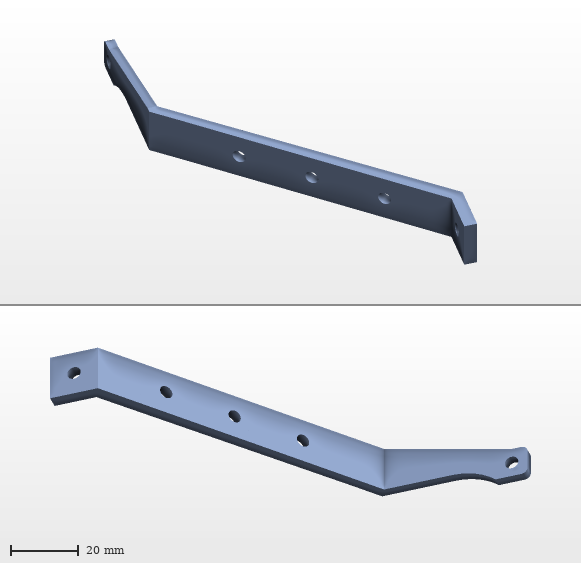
import cadquery as cq
import math

BEND_ANGLE = 50.0
BAR_HEIGHT = 15.0
BAR_BACK_LENGTH = 98.29
BAR_LEFT_THICKNESS = 3.2
FLAT_LENGTH = 10.0
ARM_LENGTH = 45.0
ARM_THICKNESS = 3.0
TAB_LENGTH = 14.97
TAB_THICKNESS = 4.0

EYE_HALF_HEIGHT = 5.0
EYE_TOP_LENGTH = 5.0
EYE_BOTTOM_LENGTH = 10.0
EYE_CORNER_RADIUS = 2.0
UNDERSIDE_RADIUS = 21.0

HOLE_DIAMETER = 4.2
BAR_HOLE_SPACING = 23.5
BAR_HOLE_COUNT = 3
LAST_BAR_HOLE_FROM_TAB_BEND = 23.5
ARM_HOLE_FROM_END = 5.0
TAB_HOLE_FROM_END = TAB_LENGTH / 2

COS = math.cos(math.radians(BEND_ANGLE))
SIN = math.sin(math.radians(BEND_ANGLE))
CUT_DEPTH = 20.0


def arm_point(distance, depth):
    """Plan point at a distance up the arm from its bend, at a depth below the back face."""
    return (-distance * COS - depth * SIN, distance * SIN - depth * COS)


def tab_point(distance, depth):
    """Plan point at a distance down the tab from its bend, at a depth below the back face."""
    return (BAR_BACK_LENGTH + distance * COS - depth * SIN, -distance * SIN - depth * COS)


def make_strip():
    """Bent strip in plan, raised over the full height of bar and eye."""
    arm_front_overrun = (BAR_LEFT_THICKNESS - ARM_THICKNESS * COS) / SIN
    front_arm_bend = arm_point(-arm_front_overrun, ARM_THICKNESS)
    taper_start = (front_arm_bend[0] + FLAT_LENGTH, -BAR_LEFT_THICKNESS)
    miter_shift = TAB_THICKNESS * math.tan(math.radians(BEND_ANGLE / 2))
    front_tab_bend = (BAR_BACK_LENGTH - miter_shift, -TAB_THICKNESS)
    outline = [
        (0, 0),
        (BAR_BACK_LENGTH, 0),
        tab_point(TAB_LENGTH, 0),
        tab_point(TAB_LENGTH, TAB_THICKNESS),
        front_tab_bend,
        taper_start,
        front_arm_bend,
        arm_point(ARM_LENGTH, ARM_THICKNESS),
        arm_point(ARM_LENGTH, 0),
    ]
    return (
        cq.Workplane("XY")
        .workplane(offset=-EYE_HALF_HEIGHT)
        .polyline(outline)
        .close()
        .extrude(BAR_HEIGHT + EYE_HALF_HEIGHT)
    )


def leg_plane(origin, direction):
    """Plane on a vertical back face: local X follows the direction, local Y is up."""
    return cq.Plane(
        origin=(origin[0], origin[1], 0),
        xDir=(direction[0], direction[1], 0),
        normal=(direction[1], -direction[0], 0),
    )


ARM_PLANE = leg_plane(arm_point(ARM_LENGTH, 0), (COS, -SIN))
BAR_PLANE = leg_plane((0, 0), (1, 0))
TAB_PLANE = leg_plane((BAR_BACK_LENGTH, 0), (COS, -SIN))


def make_side_profile():
    """Arm side profile, run on past the bar and tab at the bar's height."""
    arc_rise = UNDERSIDE_RADIUS - EYE_HALF_HEIGHT
    arc_length = math.sqrt(UNDERSIDE_RADIUS**2 - arc_rise**2)
    arc_end = EYE_BOTTOM_LENGTH + arc_length
    mid_angle = math.asin(arc_length / UNDERSIDE_RADIUS) / 2
    arc_middle = (
        arc_end - UNDERSIDE_RADIUS * math.sin(mid_angle),
        UNDERSIDE_RADIUS * (math.cos(mid_angle) - 1),
    )
    far_end = ARM_LENGTH + BAR_BACK_LENGTH + TAB_LENGTH
    return (
        cq.Workplane(ARM_PLANE)
        .moveTo(0, -EYE_HALF_HEIGHT)
        .lineTo(EYE_BOTTOM_LENGTH, -EYE_HALF_HEIGHT)
        .threePointArc(arc_middle, (arc_end, 0))
        .lineTo(far_end, 0)
        .lineTo(far_end, BAR_HEIGHT)
        .lineTo(ARM_LENGTH, BAR_HEIGHT)
        .lineTo(EYE_TOP_LENGTH, EYE_HALF_HEIGHT)
        .lineTo(0, EYE_HALF_HEIGHT)
        .close()
        .extrude(far_end, both=True)
    )


def round_eye_corners(strip):
    """Round the two corners at the arm's free end."""
    arm_end_face = cq.selectors.DirectionMinMaxSelector(cq.Vector(-COS, SIN, 0))
    return strip.faces(arm_end_face).edges("#Z").fillet(EYE_CORNER_RADIUS)


def make_holes(plane, distances, height):
    """Round cutters square to a back face, at distances along it."""
    points = [(distance, height) for distance in distances]
    return (
        cq.Workplane(plane)
        .pushPoints(points)
        .circle(HOLE_DIAMETER / 2)
        .extrude(CUT_DEPTH / 2, both=True)
    )


tab_hole = TAB_LENGTH - TAB_HOLE_FROM_END
last_bar_hole = BAR_BACK_LENGTH - LAST_BAR_HOLE_FROM_TAB_BEND
bar_holes = [last_bar_hole - i * BAR_HOLE_SPACING for i in range(BAR_HOLE_COUNT)]

result = make_strip().intersect(make_side_profile())
result = round_eye_corners(result)
result = result.cut(make_holes(ARM_PLANE, [ARM_HOLE_FROM_END], 0))
result = result.cut(make_holes(BAR_PLANE, bar_holes, BAR_HEIGHT / 2))
result = result.cut(make_holes(TAB_PLANE, [tab_hole], BAR_HEIGHT / 2))